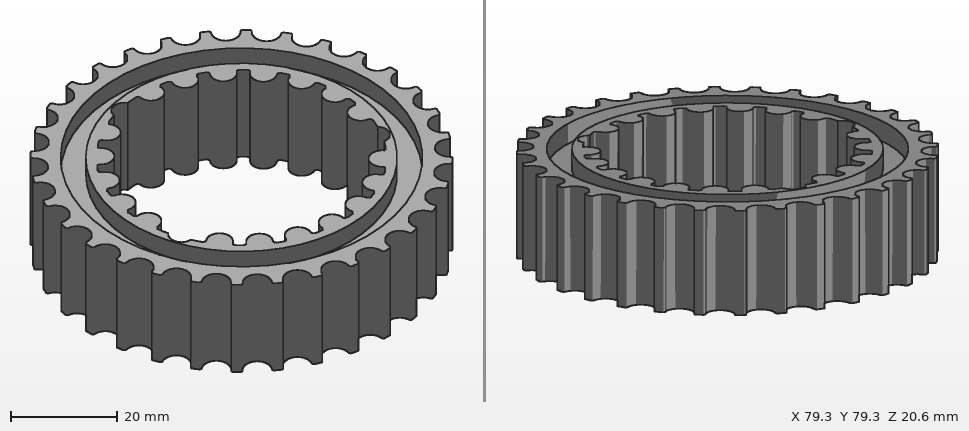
import cadquery as cq
import math

overall_width = 79.3
height = 20.6
root_radius = 27.35

groove_count = 32
groove_radius = 2.8
groove_bottom_radius = 36.55
groove_fillet = 0.5
groove_center_radius = groove_bottom_radius + groove_radius

corner_center_y = overall_width / 2 - groove_fillet
corner_rise = corner_center_y - groove_center_radius
corner_center_x = math.sqrt((groove_radius + groove_fillet) ** 2 - corner_rise**2)
tip_radius = math.hypot(corner_center_x, corner_center_y) + groove_fillet

lobe_pitch_count = 22
lobe_radius = 2.5
lobe_center_radius = 26.5
lobe_fillet = 0.6
pin_seat_radius = 2.45
pin_seat_positions = (3, 11, 19)

channel_outer_radius = 34.1
channel_inner_radius = 29.35
channel_depth = 4.0

hole_diameter = 4.05


def polar_points(radius, steps, step_count):
    """Points on a circle, at whole steps counted counterclockwise from -Y."""
    angles = [2 * math.pi * step / step_count for step in steps]
    return [(radius * math.sin(angle), -radius * math.cos(angle)) for angle in angles]


def cylinders(points, radius):
    return cq.Workplane("XY").pushPoints(points).circle(radius).extrude(height)


def round_corners(body, corner_radius, fillet_radius):
    """Fillet the vertical edges at a given distance from the Z axis."""
    tolerance = 0.001

    def is_corner(edge):
        center = edge.Center()
        return abs(math.hypot(center.x, center.y) - corner_radius) < tolerance

    corners = [edge for edge in body.edges("|Z").vals() if is_corner(edge)]
    return body.newObject(corners).fillet(fillet_radius)


def grooved_disc():
    centers = polar_points(groove_center_radius, range(groove_count), groove_count)
    disc = cq.Workplane("XY").circle(tip_radius).extrude(height).cut(cylinders(centers, groove_radius))
    return round_corners(disc, tip_radius, groove_fillet)


def lobed_bore():
    """The solid removed from the middle: the root circle less the lobes, plus the pin seats."""
    steps = [step for step in range(lobe_pitch_count) if step not in pin_seat_positions]
    lobes = cylinders(polar_points(lobe_center_radius, steps, lobe_pitch_count), lobe_radius)
    bore = cq.Workplane("XY").circle(root_radius).extrude(height).cut(lobes)
    bore = round_corners(bore, root_radius, lobe_fillet)
    seats = polar_points(lobe_center_radius, pin_seat_positions, lobe_pitch_count)
    return bore.union(cylinders(seats, pin_seat_radius))


def channel():
    floor_height = height - channel_depth
    return (
        cq.Workplane("XY", origin=(0, 0, floor_height))
        .circle(channel_outer_radius)
        .circle(channel_inner_radius)
        .extrude(channel_depth)
    )


def radial_hole():
    """A cylinder from the axis out toward -Y, so the hole runs through the -Y wall only."""
    return cq.Workplane("XZ", origin=(0, 0, height / 2)).circle(hole_diameter / 2).extrude(tip_radius)


result = grooved_disc().cut(lobed_bore()).cut(channel()).cut(radial_hole())